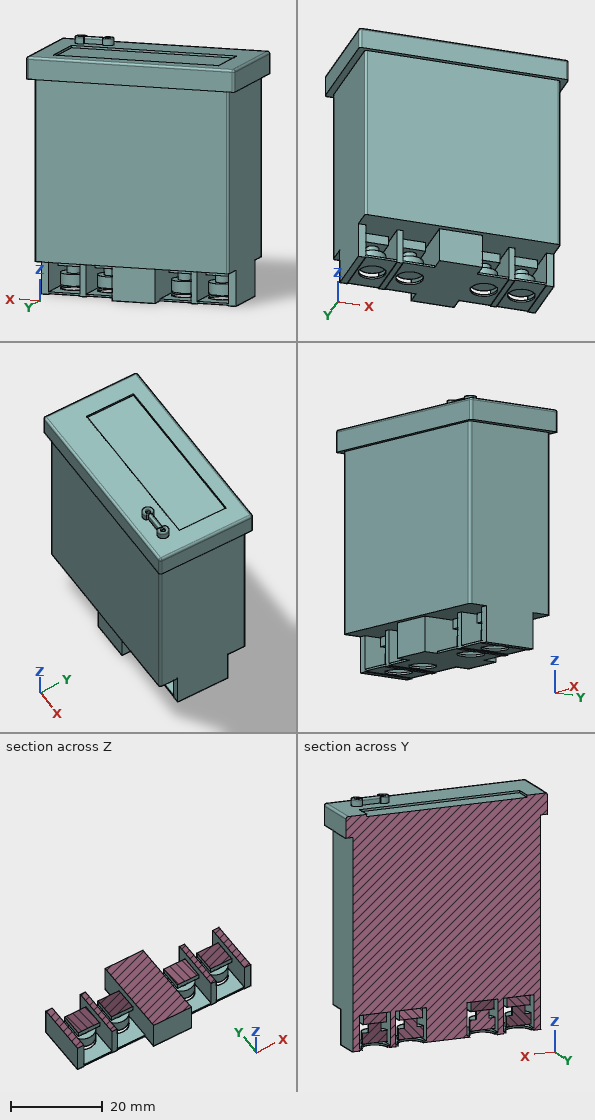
import cadquery as cq
total_height = 55.0
bezel_top = 53.45
bezel_height = 4.95
case_bottom = 8.05

bezel_length = 48.0
bezel_width = bezel_length / 2
bezel_fillet = 0.55
case_length = 44.85
case_width = 22.1
case_fillet = 0.55

window_length = 38.05
window_width = 12.0
window_y = 2.1
window_depth = 0.5

handle_x = 14.95
handle_y = -7.5
handle_length = 8.8
post_diameter = 2.65
post_bore = 1.0
post_flat_gap = 4.35
post_fillet = 0.19
bar_width = 1.0
bar_fillet = 0.49

wall_width = 12.85
end_wall_thickness = 1.7
partition_thickness = 1.4
center_block_length = 9.85
center_block_width = 19.65
floor_bottom = 0.15
floor_thickness = 0.45
access_hole_diameter = 6.0

block_size = 5.55
block_height = 2.15
shank_diameter = 3.1
shank_height = 1.8
head_diameter = 6.0
head_height = 2.6

bay_length = (case_length / 2 - end_wall_thickness - partition_thickness - center_block_length / 2) / 2
inner_bay_x = (center_block_length + bay_length) / 2
bay_pitch = bay_length + partition_thickness
outer_bay_x = inner_bay_x + bay_pitch
terminal_positions = [-outer_bay_x, -inner_bay_x, inner_bay_x, outer_bay_x]


def box_between(length, width, bottom, top, x=0, y=0):
    """Box centered on (x, y) that spans the given heights."""
    return cq.Workplane("XY", origin=(x, y, bottom)).rect(length, width).extrude(top - bottom)


def make_bezel():
    bezel = box_between(bezel_length, bezel_width, bezel_top - bezel_height, bezel_top)
    bezel = bezel.edges("|Z or >Z").fillet(bezel_fillet)
    window = box_between(
        window_length, window_width, bezel_top - window_depth, bezel_top, y=window_y
    )
    return bezel.cut(window)


def make_case():
    case = box_between(case_length, case_width, case_bottom, bezel_top - bezel_height)
    return case.edges("|Z").fillet(case_fillet)


def make_handle():
    post_offset = (handle_length - post_diameter) / 2
    posts = (
        cq.Workplane("XY", origin=(handle_x, handle_y, bezel_top))
        .pushPoints([(-post_offset, 0), (post_offset, 0)])
        .circle(post_diameter / 2)
        .circle(post_bore / 2)
        .extrude(total_height - bezel_top)
    )
    gap = box_between(post_flat_gap, post_diameter, bezel_top, total_height, handle_x, handle_y)
    posts = posts.cut(gap).faces(">Z").edges().fillet(post_fillet)
    bar = box_between(2 * post_offset, bar_width, bezel_top, total_height, handle_x, handle_y)
    bar = bar.edges("|X and >Z").fillet(bar_fillet)
    return posts.union(bar)


def make_terminal_section():
    section = box_between(center_block_length, center_block_width, floor_bottom, case_bottom)
    floor = box_between(case_length, wall_width, floor_bottom, floor_bottom + floor_thickness)
    access_holes = (
        cq.Workplane("XY", origin=(0, 0, floor_bottom))
        .pushPoints([(x, 0) for x in terminal_positions])
        .circle(access_hole_diameter / 2)
        .extrude(floor_thickness)
    )
    section = section.union(floor.cut(access_holes))
    end_wall_x = (case_length - end_wall_thickness) / 2
    partition_x = (inner_bay_x + outer_bay_x) / 2
    for side in (-1, 1):
        end_wall = box_between(end_wall_thickness, wall_width, 0, case_bottom, side * end_wall_x)
        partition = box_between(partition_thickness, wall_width, 0, case_bottom, side * partition_x)
        section = section.union(end_wall).union(partition)
    return section


def make_housing():
    return make_case().union(make_bezel()).union(make_handle()).union(make_terminal_section())


def make_terminal_block(x):
    return box_between(block_size, block_size, case_bottom - block_height, case_bottom, x)


def make_screw(x):
    shank_top = case_bottom - block_height
    return (
        cq.Workplane("XY", origin=(x, 0, shank_top))
        .circle(shank_diameter / 2)
        .extrude(-shank_height)
        .faces("<Z")
        .workplane()
        .circle(head_diameter / 2)
        .extrude(head_height)
    )


housing = make_housing()
terminal_blocks = [make_terminal_block(x).val() for x in terminal_positions]
screws = [make_screw(x).val() for x in terminal_positions]
result = cq.Compound.makeCompound([housing.val(), *terminal_blocks, *screws])